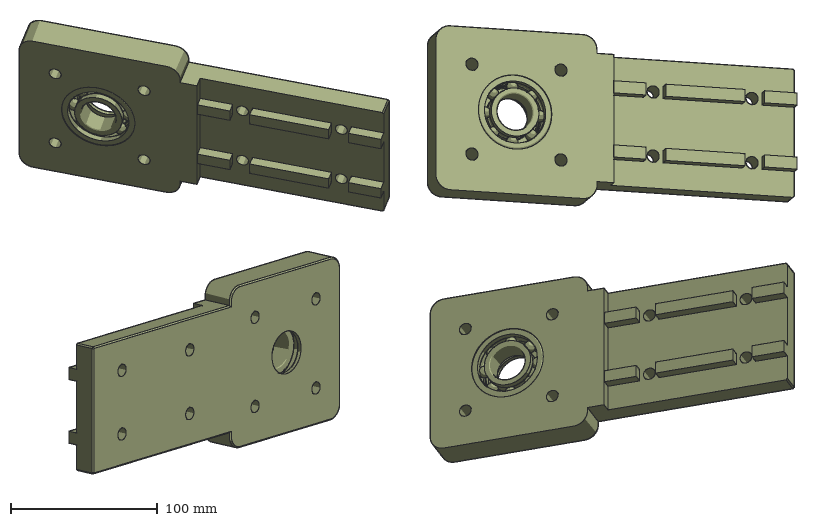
import cadquery as cq
import math


length = 256.0
thickness = 23.0
head_length = 114.0
head_height = 115.0
head_corner_radius = 10.0
arm_height = 90.0
step_from_left = 126.0
arm_thickness = 15.0
edge_chamfer = 1.0

bearing_from_left = 56.0
head_hole_spacing = 63.0
bolt_hole_diameter = 8.5

rib_width = 8.5
rib_height = 7.0
row_spacing = 45.0
arm_hole_spacing = 70.0
first_arm_hole = 30.0
rib_gap = 14.0

bearing_outer_diameter = 52.0
bearing_bore_diameter = 25.0
bearing_width = 15.0
inner_land_diameter = 33.64
outer_land_diameter = 43.36
ball_diameter = 8.1
raceway_diameter = 7.9
ball_count = 8
bearing_edge_radius = 1.0

clearance_diameter = 42.0
clearance_depth = 5.0
lip_bore_diameter = 30.0

left_x = -bearing_from_left
head_center_x = left_x + head_length / 2
right_x = left_x + length
step_x = left_x + step_from_left
row_heights = (-row_spacing / 2, row_spacing / 2)
head_hole_offsets = (-head_hole_spacing / 2, head_hole_spacing / 2)
arm_hole_xs = (step_x + first_arm_hole, step_x + first_arm_hole + arm_hole_spacing)
pitch_radius = (inner_land_diameter + outer_land_diameter) / 4


def block(x_start, x_end, y_start, y_end, height, z_center=0.0):
    """Box between two X and two Y positions, centred in height on z_center."""
    box = cq.Workplane("XY").box(x_end - x_start, y_end - y_start, height, centered=(False, False, True))
    return box.translate((x_start, y_start, z_center))


def cylinder(diameter, depth, x=0.0, z=0.0):
    """Cylinder along +Y that starts on the front face."""
    return cq.Workplane("XZ", origin=(x, 0, z)).circle(diameter / 2).extrude(-depth)


def tube(outer_diameter, inner_diameter, depth):
    """Ring about the bearing axis that starts on the front face."""
    return cylinder(outer_diameter, depth).cut(cylinder(inner_diameter, depth))


def make_plate():
    """Rounded head and thin arm with a chamfered back edge."""
    head = block(left_x, left_x + head_length, 0, thickness, head_height)
    head = head.edges("|Y").fillet(head_corner_radius)
    arm = block(head_center_x, right_x, 0, thickness, arm_height)
    arm = arm.edges("|Y and >X").chamfer(edge_chamfer)
    plate = head.union(arm)
    plate = plate.faces(">Y").chamfer(edge_chamfer)
    recess = block(step_x, right_x, 0, thickness - arm_thickness, arm_height)
    return plate.cut(recess)


def make_ribs(z):
    """One row of ribs on the arm, broken around each bolt hole."""
    rib_back = thickness - arm_thickness
    row = block(step_x, right_x, rib_back - rib_height, rib_back, rib_width, z)
    for x in arm_hole_xs:
        row = row.cut(block(x - rib_gap / 2, x + rib_gap / 2, 0, rib_back, rib_width, z))
    return row


def make_bracket():
    body = make_plate()
    for z in row_heights:
        body = body.union(make_ribs(z))
        for x in arm_hole_xs:
            body = body.cut(cylinder(bolt_hole_diameter, thickness, x, z))
    for x_offset in head_hole_offsets:
        for z in head_hole_offsets:
            body = body.cut(cylinder(bolt_hole_diameter, thickness, head_center_x + x_offset, z))
    body = body.cut(cylinder(bearing_outer_diameter, bearing_width))
    body = body.cut(cylinder(clearance_diameter, bearing_width + clearance_depth))
    return body.cut(cylinder(lip_bore_diameter, thickness))


def make_raceway():
    """Torus that cuts the ball groove into both rings."""
    section = cq.Workplane("XY").center(pitch_radius, bearing_width / 2).circle(raceway_diameter / 2)
    return section.revolve(360, (-pitch_radius, 0, 0), (-pitch_radius, 1, 0))


def make_bearing():
    """Inner and outer rings joined by a circle of balls seated in both."""
    outer_ring = tube(bearing_outer_diameter, outer_land_diameter, bearing_width)
    outer_ring = outer_ring.edges(cq.selectors.RadiusNthSelector(-1)).fillet(bearing_edge_radius)
    inner_ring = tube(inner_land_diameter, bearing_bore_diameter, bearing_width)
    inner_ring = inner_ring.edges(cq.selectors.RadiusNthSelector(0)).fillet(bearing_edge_radius)
    bearing_body = outer_ring.union(inner_ring).cut(make_raceway())
    for index in range(ball_count):
        angle = 2 * math.pi * index / ball_count
        center = (pitch_radius * math.cos(angle), bearing_width / 2, pitch_radius * math.sin(angle))
        ball = cq.Workplane("XY").sphere(ball_diameter / 2).translate(center)
        bearing_body = bearing_body.union(ball)
    return bearing_body


bracket = make_bracket()
bearing = make_bearing()
result = cq.Compound.makeCompound([bracket.val(), bearing.val()])